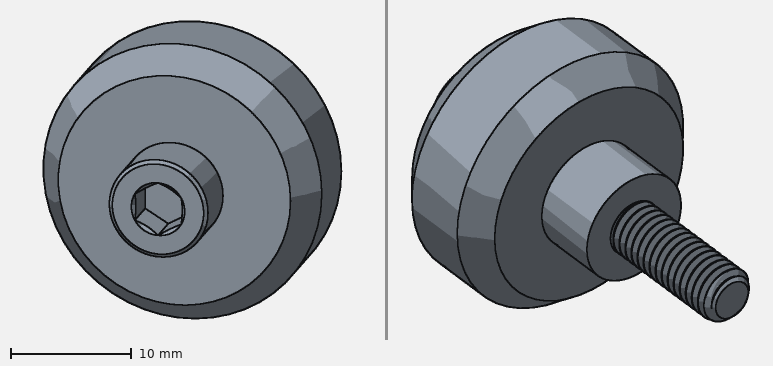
import cadquery as cq
import math


wheel_diameter = 24.0
wheel_face_diameter = 20.02
wheel_width = 11.0
wheel_rim_width = 6.02
wheel_bevel_width = (wheel_width - wheel_rim_width) / 2

spacer_diameter = 10.0
spacer_length = 6.0

overall_length = 35.0
head_diameter = 8.5
head_length = 5.0
head_front_chamfer = 0.3
head_front_chamfer_length = 0.2
head_back_chamfer = 0.2
socket_across_flats = 4.0
socket_depth = 3.15
socket_across_corners = socket_across_flats / math.cos(math.radians(30))
socket_lead_in = (socket_across_corners - socket_across_flats) / 2

shank_diameter = 5.0
tip_y = overall_length - head_length
tip_chamfer = 0.77

thread_start_y = wheel_width + spacer_length
thread_length = tip_y - thread_start_y
thread_turns = 16.25
thread_pitch = thread_length / thread_turns
thread_root_diameter = 3.95
thread_root_flat = thread_pitch / 8
thread_flank_angle = 30.0
thread_flank_slope = math.tan(math.radians(thread_flank_angle))
groove_overcut = 0.05
cut_tolerance = 0.001


def revolve_about_y(points):
    """Solid of revolution about Y from a (radius, y) outline."""
    return cq.Workplane("XY").polyline(points).close().revolve(360, (0, 0, 0), (0, 1, 0))


def cylinder_along_y(diameter, start_y, length):
    """Solid cylinder on the Y axis that runs toward +Y from start_y."""
    return cq.Workplane("XZ", origin=(0, start_y, 0)).circle(diameter / 2).extrude(-length)


def make_wheel():
    """Wheel with a bevel on both rims and a through bore for the shank."""
    outer = wheel_diameter / 2
    face = wheel_face_diameter / 2
    bore = shank_diameter / 2
    return revolve_about_y([
        (bore, 0),
        (face, 0),
        (outer, wheel_bevel_width),
        (outer, wheel_width - wheel_bevel_width),
        (face, wheel_width),
        (bore, wheel_width),
    ])


def make_spacer():
    """Plain sleeve between the wheel and the exposed thread."""
    sleeve = cylinder_along_y(spacer_diameter, wheel_width, spacer_length)
    return sleeve.cut(cylinder_along_y(shank_diameter, wheel_width, spacer_length))


def make_socket():
    """Hexagonal socket with corners up and down and a conical lead-in."""
    hexagon = (
        cq.Workplane("XZ", origin=(0, -head_length, 0))
        .transformed(rotate=(0, 0, 90))
        .polygon(6, socket_across_corners)
        .extrude(-socket_depth)
    )
    cone = revolve_about_y([
        (0, -head_length),
        (socket_across_corners / 2, -head_length),
        (socket_across_flats / 2, -head_length + socket_lead_in),
        (0, -head_length + socket_lead_in),
    ])
    return hexagon.union(cone)


def make_head():
    """Screw head with chamfered rims and the socket."""
    radius = head_diameter / 2
    head = revolve_about_y([
        (0, -head_length),
        (radius - head_front_chamfer, -head_length),
        (radius, -head_length + head_front_chamfer_length),
        (radius, -head_back_chamfer),
        (radius - head_back_chamfer, 0),
        (0, 0),
    ])
    return head.cut(make_socket())


def make_thread_groove():
    """Right-handed helical groove that overruns the thread by one pitch at both ends."""
    root_radius = thread_root_diameter / 2
    mouth_radius = shank_diameter / 2 + groove_overcut
    root_half = thread_root_flat / 2
    mouth_half = root_half + (mouth_radius - root_radius) * thread_flank_slope
    helix = cq.Wire.makeHelix(thread_pitch, thread_length + 2 * thread_pitch, root_radius)
    groove = (
        cq.Workplane("XZ")
        .polyline([
            (root_radius, -root_half),
            (mouth_radius, -mouth_half),
            (mouth_radius, mouth_half),
            (root_radius, root_half),
        ])
        .close()
        .sweep(cq.Workplane(helix), isFrenet=True)
    )
    return (
        groove
        .rotate((0, 0, 0), (1, 0, 0), -90)
        .translate((0, thread_start_y - thread_pitch, 0))
    )


def make_threaded_end():
    """Exposed shank end with its thread and a 45 degree tip chamfer."""
    radius = shank_diameter / 2
    blank = revolve_about_y([
        (0, thread_start_y),
        (radius, thread_start_y),
        (radius, tip_y - tip_chamfer),
        (radius - tip_chamfer, tip_y),
        (0, tip_y),
    ])
    return blank.cut(make_thread_groove(), clean=False, tol=cut_tolerance)


def make_screw():
    """Socket head screw: head, plain shank inside wheel and spacer, threaded end."""
    plain_shank = cylinder_along_y(shank_diameter, 0, thread_start_y)
    return make_head().union(plain_shank).union(make_threaded_end(), clean=False)


wheel = make_wheel()
spacer = make_spacer()
screw = make_screw()

result = cq.Compound.makeCompound([*wheel.solids().vals(), *spacer.solids().vals(), *screw.solids().vals()])